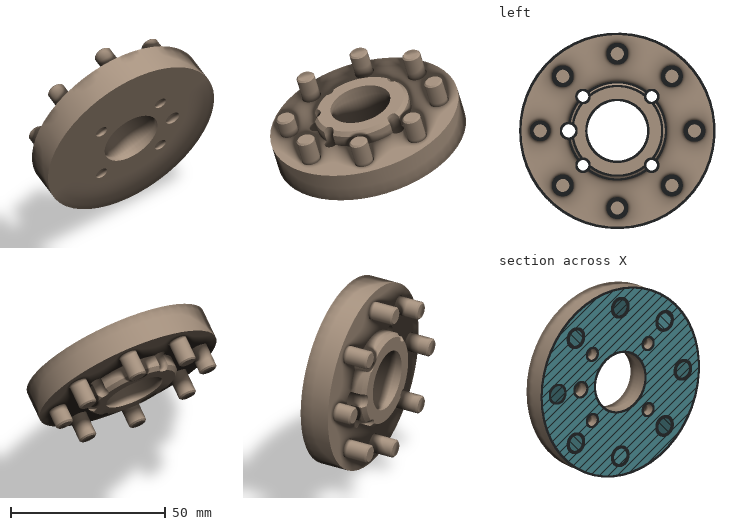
import cadquery as cq
import math

plate_diameter = 63.0
plate_thickness = 10.0

hub_diameter = 31.5
hub_height = 5.1
hub_chamfer_axial = 1.3
hub_chamfer_radial = 1.2
bore_diameter = 20.0

hole_circle_diameter = hub_diameter
bolt_hole_diameter = 4.2
bolt_hole_angles = [45, 135, 225, 315]
locating_hole_diameter = 5.0
locating_hole_angle = 0

pin_count = 8
pin_circle_diameter = 50.0
pin_diameter = 6.0
pin_length = 12.0

shank_reach = 8.2
shank_depth = pin_length - shank_reach
shank_hole_diameter = 6.4
shank_chamfer = 0.5

dowel_reach = 6.1
dowel_depth = pin_length - dowel_reach
dowel_chamfer_axial = 0.6
dowel_chamfer_radial = 0.5

pin_step = 360 / pin_count
dowel_angle = 0
shank_angles = [dowel_angle + pin_step * step for step in range(1, pin_count)]


def point_on_circle(diameter, angle):
    """(Y, Z) point on a circle about the X axis, with the angle measured from +Y towards +Z."""
    radius = diameter / 2
    return radius * math.cos(math.radians(angle)), radius * math.sin(math.radians(angle))


def bores(circle_diameter, angles, diameter, start, end):
    """Cutters along X from start to end, one at each angle on the circle."""
    return (
        cq.Workplane("YZ", origin=(start, 0, 0))
        .pushPoints([point_on_circle(circle_diameter, angle) for angle in angles])
        .circle(diameter / 2)
        .extrude(end - start)
    )


def make_flange():
    """Plate and chamfered hub revolved about X, then pierced by all the holes."""
    hub_radius = hub_diameter / 2
    body = (
        cq.Workplane("XY")
        .moveTo(plate_thickness, bore_diameter / 2)
        .lineTo(plate_thickness, plate_diameter / 2)
        .lineTo(0, plate_diameter / 2)
        .lineTo(0, hub_radius)
        .lineTo(hub_chamfer_axial - hub_height, hub_radius)
        .lineTo(-hub_height, hub_radius - hub_chamfer_radial)
        .lineTo(-hub_height, bore_diameter / 2)
        .close()
        .revolve(360, (0, 0, 0), (1, 0, 0))
    )
    rim_holes = [(bolt_hole_angles, bolt_hole_diameter), ([locating_hole_angle], locating_hole_diameter)]
    for angles, diameter in rim_holes:
        body = body.cut(bores(hole_circle_diameter, angles, diameter, -hub_height, plate_thickness))
    body = body.cut(bores(pin_circle_diameter, shank_angles, shank_hole_diameter, 0, shank_depth))
    return body.cut(bores(pin_circle_diameter, [dowel_angle], pin_diameter, 0, dowel_depth))


def make_pin(angle, reach, depth, chamfer_axial, chamfer_radial):
    """Round pin from its seat in the plate to a chamfered free end in front of it."""
    radius = pin_diameter / 2
    return (
        cq.Workplane("XY")
        .moveTo(depth, 0)
        .lineTo(depth, radius)
        .lineTo(chamfer_axial - reach, radius)
        .lineTo(-reach, radius - chamfer_radial)
        .lineTo(-reach, 0)
        .close()
        .revolve(360, (0, 0, 0), (1, 0, 0))
        .translate((0, *point_on_circle(pin_circle_diameter, angle)))
    )


def make_shank_pin(angle):
    """Shank pin seated on the floor of its clearance hole."""
    return make_pin(angle, shank_reach, shank_depth, shank_chamfer, shank_chamfer)


flange = make_flange()
shank_pins = [make_shank_pin(angle) for angle in shank_angles]
dowel = make_pin(dowel_angle, dowel_reach, dowel_depth, dowel_chamfer_axial, dowel_chamfer_radial)

result = cq.Compound.makeCompound([flange.val(), *[pin.val() for pin in shank_pins], dowel.val()])